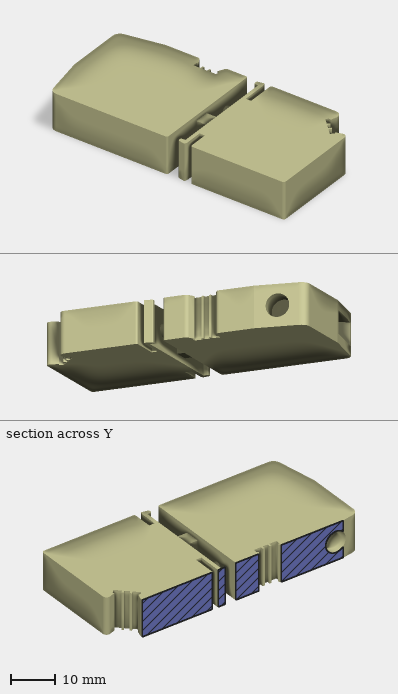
import cadquery as cq
import math

LENGTH = 67.7
WIDTH = 31.2
HEIGHT = 10.1
MID_Z = HEIGHT / 2

WIRE_BLOCK_LENGTH = 35.0
SLOPE_ANGLE = 10.0
TOP_SLOPE_LENGTH = 12.1
LEFT_SLOPE_WIDTH = 12.45
NOSE_RADIUS = 2.0
EDGE_RADIUS = 0.5

PLATE_LEFT = 39.0
PLATE_THICKNESS = 1.0
SLOT_WIDTH = 1.5
UPPER_SLOT_DEPTH = 7.7
LOWER_SLOT_DEPTH = 5.55
CORNER_RADIUS = 0.7
HOOK_REACH = 1.2
HOOK_THICKNESS = 1.4
HOOK_TIP_DROP = 0.35
HOOK_NOSE_CHAMFER = 0.2
PLATE_END_BEVEL_X = 0.3
PLATE_END_BEVEL_Y = 0.8

NOTCH_WIDTH = 6.35
NOTCH_WALL = 1.2
NOTCH_DEPTH = 3.25
NOTCH_LIP = 0.5
MOUTH_SLOPE = 2.0
MOUTH_HEIGHT = 9.5
TOOTH_PITCH = 1.9
TOOTH_WIDTH = 0.55
TOOTH_HEIGHT = 0.8
WIRE_NOTCH_X = 25.3
WIRE_NOTCH_RADIUS = 1.0
PLUG_NOTCH_X = 61.85
PLUG_NOTCH_Y = 24.9
PLUG_NOTCH_ANGLE = -45.0
PLUG_UPPER_RADIUS = 1.6
PLUG_LOWER_RADIUS = 1.0
PLUG_UPPER_WALL = 0.75

FUNNEL_CENTRE_Y = 6.85
FUNNEL_MOUTH = 10.3
FUNNEL_END = 5.55
FUNNEL_HEIGHT = 5.55
FUNNEL_DEPTH = 5.3
SCREW_HOLE_CENTRE_X = 6.7
SCREW_HOLE_DIAMETER = 5.55
SCREW_HOLE_DEPTH = FUNNEL_DEPTH

BAR_CENTRE_Y = 13.25
BAR_WIDTH = 4.05
BAR_HEIGHT = 7.1
PIN_CENTRE_Y = 22.75
PIN_DIAMETER = 3.2

SLOPE = math.tan(math.radians(SLOPE_ANGLE))


def prism(points):
    """Full-height prism over a closed outline."""
    return cq.Workplane("XY").polyline(points).close().extrude(HEIGHT)


def upright_edge(x, y):
    """Selector for the vertical edge nearest to a corner."""
    return cq.selectors.NearestToPointSelector((x, y, MID_Z))


def label_notch(x, y, angle, left_wall=NOTCH_WALL):
    """Cutter leaving an undercut notch with two teeth; (x, y) is the middle of its floor."""
    half = NOTCH_WIDTH / 2
    tip = half - NOTCH_LIP
    flare = MOUTH_HEIGHT / MOUTH_SLOPE
    cutter = prism([
        (-half, 0),
        (half, 0),
        (half, NOTCH_WALL),
        (tip, NOTCH_WALL),
        (tip + flare, NOTCH_WALL + MOUTH_HEIGHT),
        (-tip - flare, NOTCH_WALL + MOUTH_HEIGHT),
        (-tip, NOTCH_WALL),
        (-half, left_wall),
    ])
    for side in (-1, 1):
        tooth = cq.Workplane("XY").box(TOOTH_WIDTH, TOOTH_HEIGHT, HEIGHT, centered=(True, False, False))
        cutter = cutter.cut(tooth.translate((side * TOOTH_PITCH / 2, 0, 0)))
    return cutter.rotate((0, 0, 0), (0, 0, 1), angle).translate((x, y, 0))


def wire_funnel():
    """Rectangular wire entry that narrows in plan, entering the sloping left face."""
    funnel = (
        cq.Workplane("XY")
        .polyline([
            (0, -FUNNEL_MOUTH / 2),
            (FUNNEL_DEPTH, -FUNNEL_END / 2),
            (FUNNEL_DEPTH, FUNNEL_END / 2),
            (0, FUNNEL_MOUTH / 2),
        ])
        .close()
        .extrude(FUNNEL_HEIGHT / 2, both=True)
    )
    mouth_x = (LEFT_SLOPE_WIDTH - FUNNEL_CENTRE_Y) * SLOPE
    return funnel.rotate((0, 0, 0), (0, 0, 1), SLOPE_ANGLE).translate((mouth_x, FUNNEL_CENTRE_Y, MID_Z))


def screw_hole():
    """Round blind hole, entering the sloping top-left face."""
    mouth_y = WIDTH - (TOP_SLOPE_LENGTH - SCREW_HOLE_CENTRE_X) * SLOPE
    angle = math.radians(SLOPE_ANGLE)
    return cq.Workplane(cq.Solid.makeCylinder(
        SCREW_HOLE_DIAMETER / 2,
        SCREW_HOLE_DEPTH,
        cq.Vector(SCREW_HOLE_CENTRE_X, mouth_y, MID_Z),
        cq.Vector(math.sin(angle), -math.cos(angle), 0),
    ))


def wire_block():
    upper_nose = (0, WIDTH - TOP_SLOPE_LENGTH * SLOPE)
    lower_nose = (LEFT_SLOPE_WIDTH * SLOPE, 0)
    right_corners = [(WIRE_BLOCK_LENGTH, 0), (WIRE_BLOCK_LENGTH, WIDTH)]
    block = prism([
        lower_nose,
        *right_corners,
        (TOP_SLOPE_LENGTH, WIDTH),
        upper_nose,
        (0, LEFT_SLOPE_WIDTH),
    ])
    for corner in (upper_nose, lower_nose):
        block = block.edges(upright_edge(*corner)).fillet(NOSE_RADIUS)
    for corner in right_corners:
        block = block.edges(upright_edge(*corner)).fillet(EDGE_RADIUS)

    floor_y = WIDTH - NOTCH_DEPTH
    block = block.cut(label_notch(WIRE_NOTCH_X, floor_y, 0))
    mouth_flare = (NOTCH_DEPTH - NOTCH_WALL) / MOUTH_SLOPE
    half_mouth = NOTCH_WIDTH / 2 - NOTCH_LIP + mouth_flare
    for mouth_x in (WIRE_NOTCH_X - half_mouth, WIRE_NOTCH_X + half_mouth):
        block = block.edges(upright_edge(mouth_x, WIDTH)).fillet(WIRE_NOTCH_RADIUS)
    return block.cut(wire_funnel()).cut(screw_hole())


def latch_hook():
    """Upper end of the latch plate with its hook, beside the upper slot."""
    plate_right = PLATE_LEFT + PLATE_THICKNESS
    tip_x = PLATE_LEFT - HOOK_REACH
    under_y = WIDTH - HOOK_THICKNESS
    return prism([
        (PLATE_LEFT, WIDTH / 2),
        (plate_right, WIDTH / 2),
        (plate_right, WIDTH - PLATE_END_BEVEL_Y),
        (plate_right - PLATE_END_BEVEL_X, WIDTH),
        (tip_x + HOOK_NOSE_CHAMFER, WIDTH - HOOK_TIP_DROP),
        (tip_x, WIDTH - HOOK_TIP_DROP - HOOK_NOSE_CHAMFER),
        (tip_x, under_y + HOOK_NOSE_CHAMFER),
        (tip_x + HOOK_NOSE_CHAMFER, under_y),
        (PLATE_LEFT, under_y),
    ])


def plug_block():
    body_left = PLATE_LEFT + PLATE_THICKNESS + SLOT_WIDTH
    block = prism([(body_left, 0), (LENGTH, 0), (LENGTH, WIDTH), (body_left, WIDTH)])
    for y in (0, WIDTH):
        block = block.edges(upright_edge(body_left, y)).fillet(EDGE_RADIUS)
    block = block.edges(upright_edge(LENGTH, 0)).fillet(CORNER_RADIUS)

    block = block.cut(label_notch(PLUG_NOTCH_X, PLUG_NOTCH_Y, PLUG_NOTCH_ANGLE, PLUG_UPPER_WALL))
    block = block.faces(">Y").edges("|Z").edges(">X").fillet(PLUG_UPPER_RADIUS)
    block = block.faces(">X").edges("|Z").edges(">Y").fillet(PLUG_LOWER_RADIUS)

    web_width = WIDTH - UPPER_SLOT_DEPTH - LOWER_SLOT_DEPTH
    web = cq.Workplane("XY").box(body_left - PLATE_LEFT, web_width, HEIGHT, centered=False)
    upper_hook = latch_hook()
    lower_hook = upper_hook.mirror("XZ", (0, WIDTH / 2, 0))
    block = block.union(web.translate((PLATE_LEFT, LOWER_SLOT_DEPTH, 0)))
    return block.union(upper_hook).union(lower_hook)


def connectors():
    gap = PLATE_LEFT - WIRE_BLOCK_LENGTH
    face = cq.Workplane("YZ", origin=(WIRE_BLOCK_LENGTH, 0, MID_Z))
    bar = face.center(BAR_CENTRE_Y, 0).rect(BAR_WIDTH, BAR_HEIGHT).extrude(gap)
    pin = face.center(PIN_CENTRE_Y, 0).circle(PIN_DIAMETER / 2).extrude(gap)
    return bar.union(pin)


result = wire_block().union(connectors()).union(plug_block())